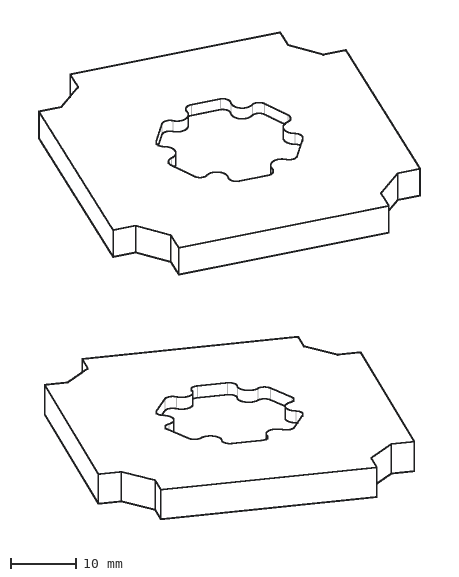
import cadquery as cq
import math

plate_side = 49.8
plate_thickness = 5.0
corner_step = 7.85
step_edge = 3.65

pocket_depth = 2.0
lobe_count = 6
flat_distance = 10.95
lobe_radius = 1.25
tooth_tip = 8.8
tooth_radius = 1.75


def polar(distance, angle):
    return (distance * math.cos(angle), distance * math.sin(angle))


def rotated(point, angle):
    x, y = point
    return (
        x * math.cos(angle) - y * math.sin(angle),
        x * math.sin(angle) + y * math.cos(angle),
    )


def make_plate():
    half = plate_side / 2
    cut_edge = half - corner_step
    diagonal_end = half - step_edge
    corner = [
        (half, cut_edge),
        (diagonal_end, cut_edge),
        (cut_edge, diagonal_end),
        (cut_edge, half),
    ]
    outline = [rotated(p, math.radians(90 * i)) for i in range(4) for p in corner]
    return cq.Workplane("XY").polyline(outline).close().extrude(plate_thickness)


def make_pocket():
    pitch = 2 * math.pi / lobe_count
    tooth_angle = pitch / 2
    tooth_x, tooth_y = polar(tooth_tip + tooth_radius, tooth_angle)

    corner_x = flat_distance - lobe_radius
    center_gap = tooth_radius + lobe_radius
    corner_y = tooth_y - math.sqrt(center_gap**2 - (tooth_x - corner_x) ** 2)

    toward_tooth = math.atan2(tooth_y - corner_y, tooth_x - corner_x)
    offset_x, offset_y = polar(lobe_radius, toward_tooth)
    blend = (corner_x + offset_x, corner_y + offset_y)
    middle_x, middle_y = polar(lobe_radius, toward_tooth / 2)
    corner_middle = (corner_x + middle_x, corner_y + middle_y)
    flat_end = (flat_distance, corner_y)
    tip = polar(tooth_tip, tooth_angle)

    def mirrored(point):
        return (point[0], -point[1])

    floor = plate_thickness - pocket_depth
    outline = cq.Workplane("XY").workplane(offset=floor).moveTo(*mirrored(flat_end))
    for i in range(lobe_count):
        turn = i * pitch
        next_turn = turn + pitch
        outline = (
            outline.lineTo(*rotated(flat_end, turn))
            .threePointArc(rotated(corner_middle, turn), rotated(blend, turn))
            .threePointArc(rotated(tip, turn), rotated(mirrored(blend), next_turn))
            .threePointArc(
                rotated(mirrored(corner_middle), next_turn),
                rotated(mirrored(flat_end), next_turn),
            )
        )
    return outline.close().extrude(pocket_depth)


result = make_plate().cut(make_pocket())